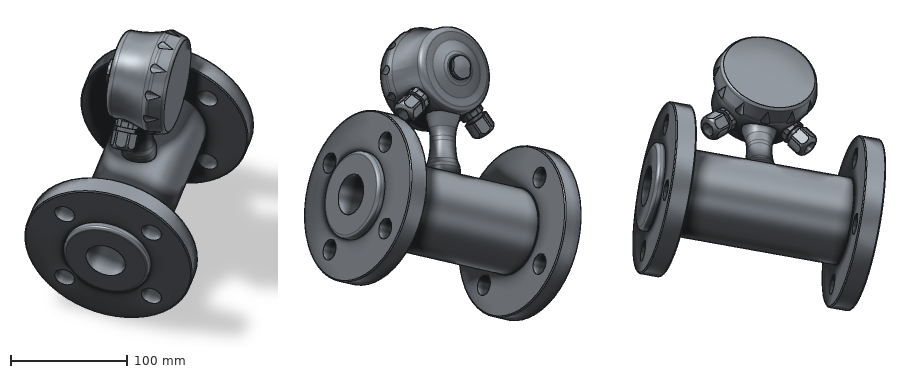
import cadquery as cq
import math

tube_length = 200.0
tube_diameter = 76.0
end_diameter = 77.0
end_length = 26.0
bore_diameter = 35.5
face_fillet = 3.0

flange_diameter = 150.0
flange_thickness = 18.0
flange_inner_y = 75.0
flange_chamfer = 1.0
bolt_hole_diameter = 18.0
bolt_circle_diameter = 110.0
bolt_count = 4

stem_foot_z = 20.0
stem_base_radius = 15.0
stem_base_z = 41.2
shoulder_radius = 14.4
shoulder_z = 44.4
flare_radius = 12.8
flare_z = 48.4
waist_radius = 11.0
waist_bottom_z = 64.9
waist_top_z = 68.8
neck_radius = 11.75
neck_z = 77.4
stem_top_radius = 15.4
stem_top_z = 90.0

head_z = 127.0
dial_x = -19.3
dial_fillet = 5.3
body_front_radius = 38.5
lid_x = 15.0
lid_start_radius = 43.8
lid_rim_radius = 45.95
rim_start_x = 19.0
rim_end_x = 21.5
rim_edge_radius = 45.7
lid_end_x = 31.8
lid_end_radius = 42.8
back_x = 34.3
back_radius = 81.2 / 2

cone_outer_radius = 25.8
cone_step_x = -21.6
cone_step_radius = 15.4
cone_inner_x = -22.3
cone_inner_radius = 12.4
button_base_x = -23.7
button_base_radius = 10.5
button_end_x = -26.8
button_radius = 10.4
button_tip_x = -27.7
button_flat_width = 18.0
button_flat_end_x = -24.7

notch_count = 12
notch_tip_x = 30.4
notch_tilt = 39.0
notch_half_angle = 32.2
notch_length = 16.0
notch_blunt_radius = 0.03

gland_x = -2.0
gland_angle = 45.0
gland_start = 30.0
gland_hex_start = 39.0
gland_hex_end = 44.5
gland_hex_diameter = 21.0
gland_hex_flats = 20.0
collar_diameter = 16.0
nut_start = 48.3
nut_end = 63.8
nut_diameter = 22.0
nut_flats = 20.0
nut_fillet = 5.0
cable_hole_diameter = 12.0
cable_hole_depth = 10.0


def cylinder_y(diameter, start_y, end_y):
    """Cylinder about the Y axis between two Y positions."""
    profile = cq.Workplane("XZ", origin=(0, start_y, 0)).circle(diameter / 2)
    return profile.extrude(start_y - end_y)


def make_tube():
    """Tube with slightly thicker ends and rounded sealing faces."""
    ends = cylinder_y(end_diameter, -tube_length / 2, tube_length / 2)
    ends = ends.faces("<Y or >Y").edges().fillet(face_fillet)
    half_middle = tube_length / 2 - end_length
    sleeve = cylinder_y(end_diameter, -half_middle, half_middle)
    sleeve = sleeve.cut(cylinder_y(tube_diameter, -half_middle, half_middle))
    return ends.cut(sleeve)


def make_flange(start_y):
    """Chamfered disc with bolt holes, starting at start_y."""
    end_y = start_y + flange_thickness
    flange = cylinder_y(flange_diameter, start_y, end_y).edges().chamfer(flange_chamfer)
    holes = (
        cq.Workplane("XZ", origin=(0, start_y, 0))
        .polarArray(bolt_circle_diameter / 2, 180 / bolt_count, 360, bolt_count)
        .circle(bolt_hole_diameter / 2)
        .extrude(-flange_thickness)
    )
    return flange.cut(holes)


def make_stem():
    """Waisted column from the tube up into the head."""
    profile = (
        cq.Workplane("XZ")
        .moveTo(0, stem_foot_z)
        .lineTo(stem_base_radius, stem_foot_z)
        .lineTo(stem_base_radius, stem_base_z)
        .tangentArcPoint((shoulder_radius, shoulder_z), relative=False)
        .lineTo(flare_radius, flare_z)
    )
    rise = waist_bottom_z - flare_z
    spread = flare_radius - waist_radius
    flare_arc = (rise ** 2 + spread ** 2) / (2 * spread)
    profile = (
        profile.radiusArc((waist_radius, waist_bottom_z), flare_arc)
        .lineTo(waist_radius, waist_top_z)
        .tangentArcPoint((neck_radius, neck_z), relative=False)
        .lineTo(stem_top_radius, stem_top_z)
        .lineTo(0, stem_top_z)
        .close()
    )
    return profile.revolve(360, (0, 0, 0), (0, 1, 0))


def make_head():
    """Housing, lid, front cone and button as one turned shape."""
    body_start_x = dial_x + dial_fillet
    rim_middle_x = (rim_start_x + rim_end_x) / 2
    profile = (
        cq.Workplane("XZ", origin=(0, 0, head_z))
        .moveTo(button_tip_x, 0)
        .lineTo(button_end_x, button_radius)
        .lineTo(button_base_x, button_radius)
        .lineTo(button_base_x, button_base_radius)
        .lineTo(cone_inner_x, button_base_radius)
        .lineTo(cone_inner_x, cone_inner_radius)
        .lineTo(cone_step_x, cone_step_radius)
        .lineTo(dial_x, cone_outer_radius)
        .lineTo(dial_x, body_front_radius - dial_fillet)
        .radiusArc((body_start_x, body_front_radius), dial_fillet)
        .tangentArcPoint((lid_x, lid_start_radius), relative=False)
        .lineTo(rim_start_x, rim_edge_radius)
        .threePointArc((rim_middle_x, lid_rim_radius), (rim_end_x, rim_edge_radius))
        .lineTo(lid_end_x, lid_end_radius)
        .tangentArcPoint((back_x, back_radius), relative=False)
        .lineTo(back_x, 0)
        .close()
    )
    head = profile.revolve(360, (0, 0, 0), (1, 0, 0))
    return head.cut(make_button_flats()).cut(make_notches())


def make_button_flats():
    """Material removed beside the two flats of the button."""
    length = button_flat_end_x - button_tip_x
    middle_x = (button_flat_end_x + button_tip_x) / 2
    clear_width = 3 * button_radius
    middle = cq.Workplane(origin=(middle_x, 0, head_z))
    around = middle.box(length, clear_width, clear_width)
    kept = middle.box(length, button_flat_width, clear_width)
    return around.cut(kept)


def make_notches():
    """Ring of cones that widen toward the front of the head."""
    lid_slope = (rim_edge_radius - lid_end_radius) / (lid_end_x - rim_end_x)
    tip_radius = lid_end_radius + lid_slope * (lid_end_x - notch_tip_x)
    tilt = math.radians(notch_tilt)
    end_radius = notch_length * math.tan(math.radians(notch_half_angle))
    cone = cq.Solid.makeCone(
        notch_blunt_radius,
        end_radius,
        notch_length,
        pnt=cq.Vector(notch_tip_x, 0, head_z + tip_radius),
        dir=cq.Vector(-math.cos(tilt), 0, math.sin(tilt)),
    )
    axis_start = (0, 0, head_z)
    axis_end = (1, 0, head_z)
    notches = cq.Workplane()
    for index in range(notch_count):
        turned = cone.rotate(cq.Vector(axis_start), cq.Vector(axis_end), index * 360 / notch_count)
        notches = notches.add(turned)
    return notches.combine()


def hexagon(across_flats, start, end):
    """Hexagonal bar along Z with corners toward +X and -X."""
    across_corners = across_flats / math.cos(math.pi / 6)
    return cq.Workplane(origin=(0, 0, start)).polygon(6, across_corners).extrude(end - start)


def round_bar(diameter, start, end):
    """Round bar along Z between two heights."""
    return cq.Workplane(origin=(0, 0, start)).circle(diameter / 2).extrude(end - start)


def make_gland(side):
    """Cable gland tilted down from the head toward one side (+1 or -1 in Y)."""
    seat = round_bar(gland_hex_diameter, gland_start, gland_hex_start)
    fixed_hex = hexagon(gland_hex_flats, gland_hex_start, gland_hex_end)
    fixed_hex = fixed_hex.intersect(round_bar(gland_hex_diameter, gland_hex_start, gland_hex_end))
    collar = round_bar(collar_diameter, gland_hex_end, nut_start)
    nut_limit = round_bar(nut_diameter, nut_start, nut_end).faces(">Z").edges().fillet(nut_fillet)
    nut = hexagon(nut_flats, nut_start, nut_end).intersect(nut_limit)
    cable_hole = round_bar(cable_hole_diameter, nut_end - cable_hole_depth, nut_end)
    gland = seat.union(fixed_hex).union(collar).union(nut).cut(cable_hole)
    tilt = -side * (180 - gland_angle)
    return gland.rotate((0, 0, 0), (1, 0, 0), tilt).translate((gland_x, 0, head_z))


result = make_tube()
result = result.union(make_flange(flange_inner_y))
result = result.union(make_flange(-flange_inner_y - flange_thickness))
result = result.union(make_stem())
result = result.union(make_head())
for gland_side in (-1, 1):
    result = result.union(make_gland(gland_side))
result = result.cut(cylinder_y(bore_diameter, -tube_length / 2, tube_length / 2))